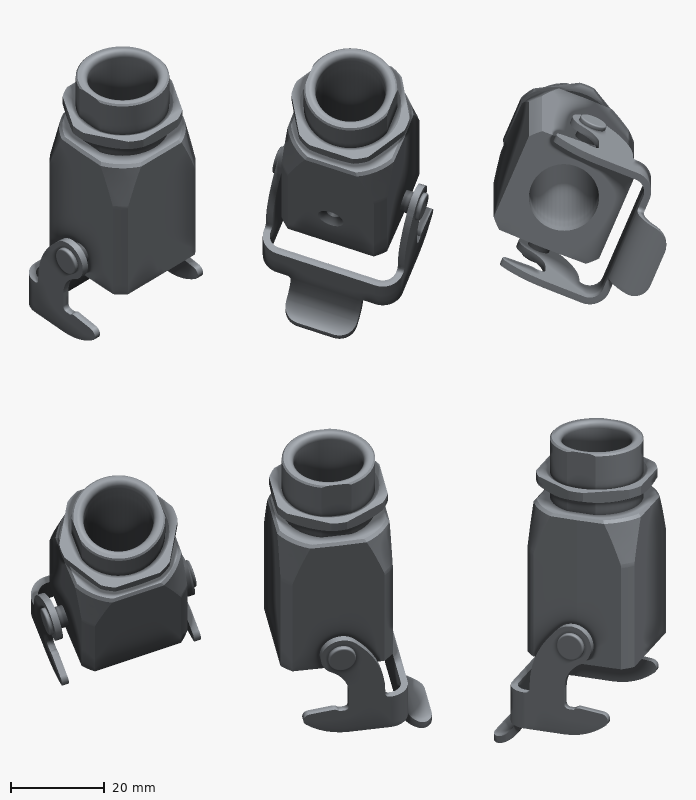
import cadquery as cq
import math

HOUSING_LENGTH = 24.4
RIDGE_DEPTH = 24.4
END_DEPTH = 24.0
HOUSING_BOTTOM = 23.75
HOUSING_TOP = 57.7
TOP_CHAMFER = 0.6
CORNER_DIAMETER = 31.3
TAPER_TOP_DIAMETER = 26.85
TAPER_START = 47.8
TAPER_BLEND = 4.0
BORE_DIAMETER = 15.0

NECK_DIAMETER = 20.0
NECK_ACROSS_FLATS = 18.95
NECK_TOP = 71.8
NECK_CHAMFER = 0.35
MOUTH_RADIUS = 1.35

SCREW_HOLE_DIAMETER = 3.0
SCREW_SINK_DIAMETER = 5.8
SCREW_HOLE_DEPTH = 3.0
SCREW_HOLE_Z = 34.5

PIVOT_Z = 29.3
PIN_DIAMETER = 4.8
HEAD_DIAMETER = 6.0
HEAD_THICKNESS = 1.0
HEAD_FILLET = 0.35

NUT_ACROSS_FLATS = 24.0
NUT_CORNER_DIAMETER = 26.0
NUT_BOTTOM = 61.25
NUT_HEIGHT = 2.8
NUT_SINK_DIAMETER = 21.75
NUT_SLOPE = 30
NUT_FACE_DIAMETER = 23.4

SHEET = 1.5
LEVER_WIDTH = 31.6
BEND_RADIUS = 4.5
BAND_LEFT = -15.15
BAND_BOTTOM = 8.4
BAND_TOP = 16.8
LOBE_RADIUS = 4.5
ARM_LEFT = -9.5
ARM_LEFT_TOP = 18.8
ARM_RIGHT = -1.6
ARM_RIGHT_TOP = 19.1
ARM_FILLET = 1.0
TIP_X = 6.8
TIP_Z = 12.9
TIP_RADIUS = 1.5
TIP_SLOPE = 6.0
NOTCH_FLOOR = 14.4
NOTCH_FILLET = 1.0
NOTCH_WIDTH = 2.15
CREST_LENGTH = 1.3

TAB_WIDTH = 16.1
TAB_CORNER_RADIUS = 4.0
TAB_BEND_RADIUS = 8.05
TAB_ROOT_FILLET = 1.0


def cylinder(diameter, bottom, top):
    return cq.Workplane("XY").workplane(offset=bottom).circle(diameter / 2).extrude(top - bottom)


def along_y(diameter, y_min, y_max):
    """Cylinder on the pivot axis, from y_min to y_max."""
    start = cq.Workplane("XZ", origin=(0, y_max, PIVOT_Z))
    return start.circle(diameter / 2).extrude(y_max - y_min)


def point_from(center, target, distance):
    """Point at the given distance from center on the ray towards target."""
    span = math.dist(center, target)
    return tuple(c + (t - c) * distance / span for c, t in zip(center, target))


def point_at(center, radius, degrees):
    angle = math.radians(degrees)
    return (center[0] + radius * math.cos(angle), center[1] + radius * math.sin(angle))


def arc_middle(center, radius, first, second):
    """Point halfway along the shorter arc from first to second."""
    return point_from(center, ((first[0] + second[0]) / 2, (first[1] + second[1]) / 2), radius)


def make_shell():
    height = HOUSING_TOP - HOUSING_BOTTOM
    base = cq.Workplane("XY").workplane(offset=HOUSING_BOTTOM)
    end = HOUSING_LENGTH / 2
    block = (
        base.moveTo(-end, -END_DEPTH / 2)
        .lineTo(0, -RIDGE_DEPTH / 2)
        .lineTo(end, -END_DEPTH / 2)
        .lineTo(end, END_DEPTH / 2)
        .lineTo(0, RIDGE_DEPTH / 2)
        .lineTo(-end, END_DEPTH / 2)
        .close()
        .extrude(height)
    )
    turned = (
        cq.Workplane("XZ")
        .moveTo(0, HOUSING_BOTTOM)
        .lineTo(CORNER_DIAMETER / 2, HOUSING_BOTTOM)
        .lineTo(CORNER_DIAMETER / 2, TAPER_START)
        .lineTo(TAPER_TOP_DIAMETER / 2, HOUSING_TOP)
        .lineTo(0, HOUSING_TOP)
        .close()
        .revolve(360, (0, 0, 0), (0, 1, 0))
    )
    belt = cq.selectors.BoxSelector(
        (-CORNER_DIAMETER, -CORNER_DIAMETER, TAPER_START - 0.7),
        (CORNER_DIAMETER, CORNER_DIAMETER, TAPER_START + 0.7),
    )
    turned = turned.edges(belt).fillet(TAPER_BLEND)
    return block.intersect(turned).faces(">Z").edges().chamfer(TOP_CHAMFER)


def make_neck():
    neck = cylinder(NECK_DIAMETER, HOUSING_TOP, NECK_TOP).faces(">Z").edges().chamfer(NECK_CHAMFER)
    flats = (
        cq.Workplane("XY")
        .workplane(offset=HOUSING_TOP)
        .rect(NECK_DIAMETER, NECK_ACROSS_FLATS)
        .extrude(NECK_TOP - HOUSING_TOP)
    )
    return neck.intersect(flats)


def make_pin(side):
    """Pivot pin on the side (-1 or 1) of the housing, with its head outside the lever."""
    lever_face = LEVER_WIDTH / 2
    shank = along_y(PIN_DIAMETER, BORE_DIAMETER / 2, lever_face)
    head = along_y(HEAD_DIAMETER, lever_face, lever_face + HEAD_THICKNESS)
    pin = shank.union(head.faces(">Y").edges().fillet(HEAD_FILLET))
    return pin if side > 0 else pin.mirror("XZ")


def make_housing():
    housing = make_shell().union(make_neck())
    for side in (-1, 1):
        housing = housing.union(make_pin(side))
    housing = housing.cut(cylinder(BORE_DIAMETER, HOUSING_BOTTOM, NECK_TOP))
    mouth = cq.selectors.RadiusNthSelector(0)
    housing = housing.faces(">Z").edges(mouth).fillet(MOUTH_RADIUS)
    screw_face = cq.Workplane("YZ", origin=(-HOUSING_LENGTH / 2, 0, SCREW_HOLE_Z))
    sink_depth = (SCREW_SINK_DIAMETER - SCREW_HOLE_DIAMETER) / 2
    hole = screw_face.circle(SCREW_HOLE_DIAMETER / 2).extrude(SCREW_HOLE_DEPTH)
    sink = (
        screw_face.circle(SCREW_SINK_DIAMETER / 2)
        .workplane(offset=sink_depth)
        .circle(SCREW_HOLE_DIAMETER / 2)
        .loft()
    )
    return housing.cut(hole).cut(sink)


def make_nut():
    nut_top = NUT_BOTTOM + NUT_HEIGHT
    hexagon = (
        cq.Workplane("XY")
        .workplane(offset=NUT_BOTTOM)
        .polygon(6, NUT_ACROSS_FLATS, circumscribed=True)
        .extrude(NUT_HEIGHT)
    )
    corner = NUT_CORNER_DIAMETER / 2
    face = NUT_FACE_DIAMETER / 2
    slope = math.tan(math.radians(NUT_SLOPE))
    edge_rise = (corner - face) * slope
    turned = (
        cq.Workplane("XZ")
        .moveTo(0, NUT_BOTTOM)
        .lineTo(face, NUT_BOTTOM)
        .lineTo(corner, NUT_BOTTOM + edge_rise)
        .lineTo(corner, nut_top)
        .lineTo(0, nut_top)
        .close()
        .revolve(360, (0, 0, 0), (0, 1, 0))
    )
    sink_radius = NUT_SINK_DIAMETER / 2
    sink = (
        cq.Workplane("XZ")
        .moveTo(0, nut_top)
        .lineTo(sink_radius, nut_top)
        .lineTo(0, nut_top - sink_radius * slope)
        .close()
        .revolve(360, (0, 0, 0), (0, 1, 0))
    )
    return hexagon.intersect(turned).cut(sink).cut(make_neck())


def make_lever_outline():
    """Side outline of the lever in XZ, with tangent arcs round the lobe and the hook tip."""
    pivot = (0, PIVOT_Z)
    tip = (TIP_X, TIP_Z)

    belly_start = (ARM_RIGHT, BAND_BOTTOM)
    reach = TIP_X - ARM_RIGHT
    rise = TIP_Z - BAND_BOTTOM
    belly_radius = (reach**2 + rise**2 - TIP_RADIUS**2) / (2 * (rise - TIP_RADIUS))
    belly_center = (ARM_RIGHT, BAND_BOTTOM + belly_radius)
    belly_end = point_from(belly_center, tip, belly_radius)

    tip_top = point_at(tip, TIP_RADIUS, 90 - TIP_SLOPE)
    notch_end = ARM_RIGHT + NOTCH_WIDTH
    crest_x = notch_end + CREST_LENGTH
    crest_z = tip_top[1] + (tip_top[0] - crest_x) * math.tan(math.radians(TIP_SLOPE))

    rise = PIVOT_Z - ARM_RIGHT_TOP
    hollow_radius = (ARM_RIGHT**2 + rise**2 - LOBE_RADIUS**2) / (2 * (LOBE_RADIUS - ARM_RIGHT))
    hollow_center = (ARM_RIGHT + hollow_radius, ARM_RIGHT_TOP)
    hollow_start = (ARM_RIGHT, ARM_RIGHT_TOP)
    hollow_end = point_from(pivot, hollow_center, LOBE_RADIUS)

    diagonal = math.sqrt(0.5)
    lobe_end = point_at(pivot, LOBE_RADIUS, 135)
    back_radius = (lobe_end[1] - lobe_end[0] - ARM_LEFT_TOP + ARM_LEFT) / (2 * diagonal - 1)
    back_center = (ARM_LEFT + back_radius, ARM_LEFT_TOP)
    back_start = point_at(back_center, back_radius, 135)
    back_end = (ARM_LEFT, ARM_LEFT_TOP)

    notch_corner = (ARM_RIGHT + NOTCH_FILLET, NOTCH_FLOOR + NOTCH_FILLET)
    arm_corner = (ARM_LEFT - ARM_FILLET, BAND_TOP + ARM_FILLET)
    return (
        cq.Workplane("XZ", origin=(0, LEVER_WIDTH / 2, 0))
        .moveTo(BAND_LEFT, BAND_BOTTOM)
        .lineTo(*belly_start)
        .threePointArc(arc_middle(belly_center, belly_radius, belly_start, belly_end), belly_end)
        .threePointArc(arc_middle(tip, TIP_RADIUS, belly_end, tip_top), tip_top)
        .lineTo(crest_x, crest_z)
        .tangentArcPoint((notch_end, NOTCH_FLOOR), relative=False)
        .lineTo(notch_corner[0], NOTCH_FLOOR)
        .threePointArc(point_at(notch_corner, NOTCH_FILLET, 225), (ARM_RIGHT, notch_corner[1]))
        .lineTo(*hollow_start)
        .threePointArc(arc_middle(hollow_center, hollow_radius, hollow_start, hollow_end), hollow_end)
        .threePointArc(point_at(pivot, LOBE_RADIUS, 45), lobe_end)
        .lineTo(*back_start)
        .threePointArc(arc_middle(back_center, back_radius, back_start, back_end), back_end)
        .lineTo(ARM_LEFT, arm_corner[1])
        .threePointArc(point_at(arm_corner, ARM_FILLET, -45), (arm_corner[0], BAND_TOP))
        .lineTo(BAND_LEFT, BAND_TOP)
        .close()
    )


def make_tab():
    """Tab that drops from the band, curls out towards -X and flares into the band."""
    root_x = BAND_LEFT + SHEET
    curl = (root_x - TAB_BEND_RADIUS, TAB_BEND_RADIUS)
    inner_radius = TAB_BEND_RADIUS - SHEET
    strip = (
        cq.Workplane("XZ", origin=(0, LEVER_WIDTH / 2, 0))
        .moveTo(root_x, BAND_BOTTOM)
        .lineTo(root_x, curl[1])
        .threePointArc(point_at(curl, TAB_BEND_RADIUS, -45), (curl[0], 0))
        .lineTo(curl[0], SHEET)
        .threePointArc(point_at(curl, inner_radius, -45), (BAND_LEFT, curl[1]))
        .lineTo(BAND_LEFT, BAND_BOTTOM)
        .close()
        .extrude(LEVER_WIDTH)
    )
    side = TAB_WIDTH / 2
    flare = side + TAB_ROOT_FILLET
    flare_start = BAND_BOTTOM - TAB_ROOT_FILLET
    front = (
        cq.Workplane("YZ", origin=(curl[0], 0, 0))
        .moveTo(-side, 0)
        .lineTo(side, 0)
        .lineTo(side, flare_start)
        .threePointArc(point_at((flare, flare_start), TAB_ROOT_FILLET, 135), (flare, BAND_BOTTOM))
        .lineTo(-flare, BAND_BOTTOM)
        .threePointArc(point_at((-flare, flare_start), TAB_ROOT_FILLET, 45), (-side, flare_start))
        .close()
        .extrude(root_x - curl[0])
    )
    tab = strip.intersect(front)
    return tab.faces("<X").edges("|Z").fillet(TAB_CORNER_RADIUS)


def make_lever():
    length = TIP_X + TIP_RADIUS - BAND_LEFT
    height = PIVOT_Z + LOBE_RADIUS - BAND_BOTTOM
    plan = cq.Workplane("XY", origin=(BAND_LEFT, 0, BAND_BOTTOM))
    outer = plan.center(length / 2, 0).rect(length, LEVER_WIDTH).extrude(height)
    outer = outer.edges("|Z and <X").fillet(BEND_RADIUS)
    inner = plan.center(length / 2 + SHEET, 0).rect(length, LEVER_WIDTH - 2 * SHEET).extrude(height)
    inner = inner.edges("|Z and <X").fillet(BEND_RADIUS - SHEET)
    lever = outer.cut(inner).intersect(make_lever_outline().extrude(LEVER_WIDTH))
    lever = lever.union(make_tab())
    return lever.cut(along_y(PIN_DIAMETER, -LEVER_WIDTH / 2, LEVER_WIDTH / 2))


housing = make_housing()
nut = make_nut()
lever = make_lever()

result = cq.Compound.makeCompound([housing.val(), nut.val(), lever.val()])